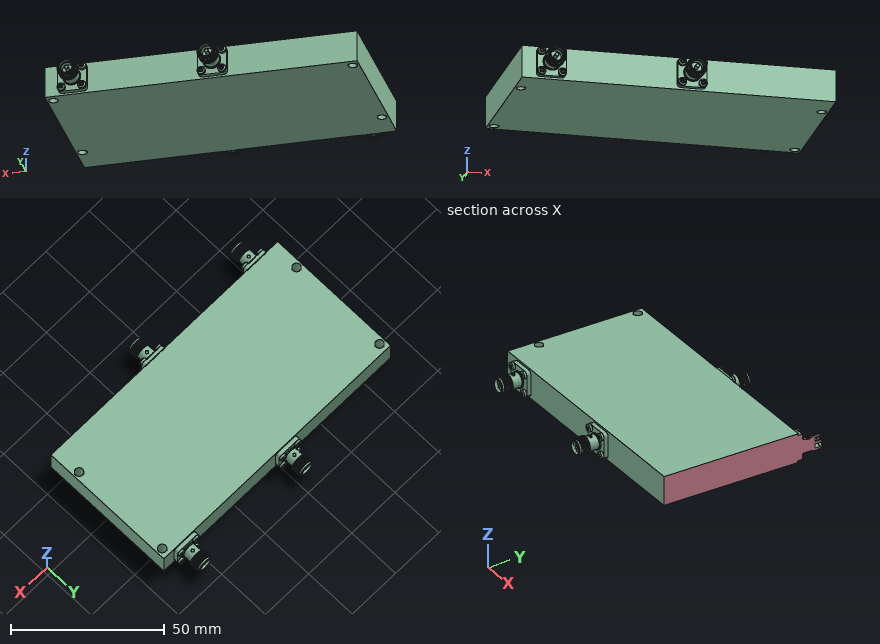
import cadquery as cq

HOUSING_LENGTH = 105.0
HOUSING_WIDTH = 51.8
HOUSING_HEIGHT = 11.0

MOUNT_HOLE_DIAMETER = 3.0
MOUNT_HOLE_SIDE_INSET = 2.2
MOUNT_HOLE_BACK_INSET = 2.9
MOUNT_HOLE_FRONT_INSET = 10.8

CONNECTOR_LENGTH = 9.7
CONNECTOR_END_INSET = 9.6
CONNECTOR_PITCH = 47.0

FLANGE_SIDE = 9.7
FLANGE_THICKNESS = 1.6
SCREW_SPACING = 6.9
SCREW_HEAD_DIAMETER = 2.6
SCREW_HEAD_HEIGHT = 1.2
SCREW_BEVEL_HEIGHT = 0.3
SCREW_BEVEL_WIDTH = 0.5
SCREW_SOCKET_ACROSS_CORNERS = 0.9
SCREW_SOCKET_DEPTH = 0.5
FLANGE_CORNER_RADIUS = (FLANGE_SIDE - SCREW_SPACING) / 2

BARREL_DIAMETER = 5.2
BARREL_END_CHAMFER = 0.2
COLLAR_DIAMETER = 5.9
COLLAR_HEIGHT = 0.4
THREAD_DIAMETER = 6.4
THREAD_ROOT_DIAMETER = 5.7
THREAD_PITCH = 0.6
THREAD_RIDGES = 5
THREAD_CREST = 0.2
LEAD_LENGTH = 0.9
THREAD_END = CONNECTOR_LENGTH - LEAD_LENGTH
THREAD_START = THREAD_END - THREAD_RIDGES * THREAD_PITCH

SOCKET_DIAMETER = 3.9
SOCKET_DEPTH = 3.2
MOUTH_DIAMETER = 4.4
MOUTH_DEPTH = 1.3
CONTACT_DIAMETER = 1.2
CONTACT_RECESS = 0.6

SIDE_HOLE_DIAMETER = 1.0
SIDE_HOLE_DEPTH = 0.4
SIDE_HOLE_OFFSET = 3.8


def make_housing():
    hole_x = HOUSING_LENGTH / 2 - MOUNT_HOLE_SIDE_INSET
    back_y = HOUSING_WIDTH / 2 - MOUNT_HOLE_BACK_INSET
    front_y = -HOUSING_WIDTH / 2 + MOUNT_HOLE_FRONT_INSET
    hole_points = [(x, y) for x in (-hole_x, hole_x) for y in (front_y, back_y)]
    block = cq.Workplane("XY").box(
        HOUSING_LENGTH, HOUSING_WIDTH, HOUSING_HEIGHT, centered=(True, True, False)
    )
    top_plane = block.faces(">Z").workplane(origin=(0, 0, 0))
    return top_plane.pushPoints(hole_points).hole(MOUNT_HOLE_DIAMETER)


def make_screw_head():
    head_radius = SCREW_HEAD_DIAMETER / 2
    top_radius = head_radius - SCREW_BEVEL_WIDTH
    straight_height = SCREW_HEAD_HEIGHT - SCREW_BEVEL_HEIGHT
    outline = [
        (0, 0),
        (head_radius, 0),
        (head_radius, straight_height),
        (top_radius, SCREW_HEAD_HEIGHT),
        (0, SCREW_HEAD_HEIGHT),
    ]
    head = cq.Workplane("XZ").polyline(outline).close().revolve(360, (0, 0), (0, 1))
    socket = (
        cq.Workplane("XY", origin=(0, 0, SCREW_HEAD_HEIGHT - SCREW_SOCKET_DEPTH))
        .polygon(6, SCREW_SOCKET_ACROSS_CORNERS)
        .extrude(SCREW_SOCKET_DEPTH)
    )
    return head.cut(socket)


def make_flange():
    flange = cq.Workplane("XY").rect(FLANGE_SIDE, FLANGE_SIDE).extrude(FLANGE_THICKNESS)
    flange = flange.edges("|Z").fillet(FLANGE_CORNER_RADIUS)
    screw_head = make_screw_head()
    half_spacing = SCREW_SPACING / 2
    for x in (-half_spacing, half_spacing):
        for y in (-half_spacing, half_spacing):
            flange = flange.union(screw_head.translate((x, y, FLANGE_THICKNESS)))
    return flange


def make_barrel():
    """Revolve the barrel, its base collar and its thread ridges about the connector axis."""
    barrel = BARREL_DIAMETER / 2
    collar = COLLAR_DIAMETER / 2
    root = THREAD_ROOT_DIAMETER / 2
    crest = THREAD_DIAMETER / 2
    flank = (THREAD_PITCH - THREAD_CREST) / 2
    outline = [
        (0, 0),
        (collar, 0),
        (collar, FLANGE_THICKNESS + COLLAR_HEIGHT),
        (barrel, FLANGE_THICKNESS + COLLAR_HEIGHT),
        (barrel, THREAD_START),
    ]
    for ridge in range(THREAD_RIDGES):
        start = THREAD_START + ridge * THREAD_PITCH
        outline += [
            (root, start),
            (crest, start + flank),
            (crest, start + flank + THREAD_CREST),
        ]
    outline += [
        (root, THREAD_END),
        (barrel, THREAD_END),
        (barrel, CONNECTOR_LENGTH - BARREL_END_CHAMFER),
        (barrel - BARREL_END_CHAMFER, CONNECTOR_LENGTH),
        (0, CONNECTOR_LENGTH),
    ]
    return cq.Workplane("XZ").polyline(outline).close().revolve(360, (0, 0), (0, 1))


def make_socket_cavity():
    """Stepped space between the barrel and the centre contact."""
    end = cq.Workplane("XY", origin=(0, 0, CONNECTOR_LENGTH))
    floor = cq.Workplane("XY", origin=(0, 0, CONNECTOR_LENGTH - SOCKET_DEPTH))
    bore = end.circle(SOCKET_DIAMETER / 2).extrude(-SOCKET_DEPTH)
    mouth = end.circle(MOUTH_DIAMETER / 2).extrude(-MOUTH_DEPTH)
    contact = floor.circle(CONTACT_DIAMETER / 2).extrude(SOCKET_DEPTH - CONTACT_RECESS)
    return bore.union(mouth).cut(contact)


def make_side_hole():
    """Cutter for the hole that enters the barrel from its local +Y side."""
    top = BARREL_DIAMETER / 2
    return (
        cq.Workplane("XZ", origin=(0, top, SIDE_HOLE_OFFSET))
        .circle(SIDE_HOLE_DIAMETER / 2)
        .extrude(SIDE_HOLE_DEPTH)
    )


def make_connector():
    """Connector on the front face of the housing at X = 0, pointing along -Y."""
    connector = make_flange().union(make_barrel())
    connector = connector.cut(make_socket_cavity()).cut(make_side_hole())
    connector = connector.rotate((0, 0, 0), (1, 0, 0), 90)
    return connector.translate((0, -HOUSING_WIDTH / 2, HOUSING_HEIGHT / 2))


result = make_housing()
connector = make_connector()
first_x = -HOUSING_LENGTH / 2 + CONNECTOR_END_INSET
for connector_x in (first_x, first_x + CONNECTOR_PITCH):
    placed = connector.translate((connector_x, 0, 0))
    turned = placed.rotate((0, 0, 0), (0, 0, 1), 180)
    result = result.union(placed).union(turned)